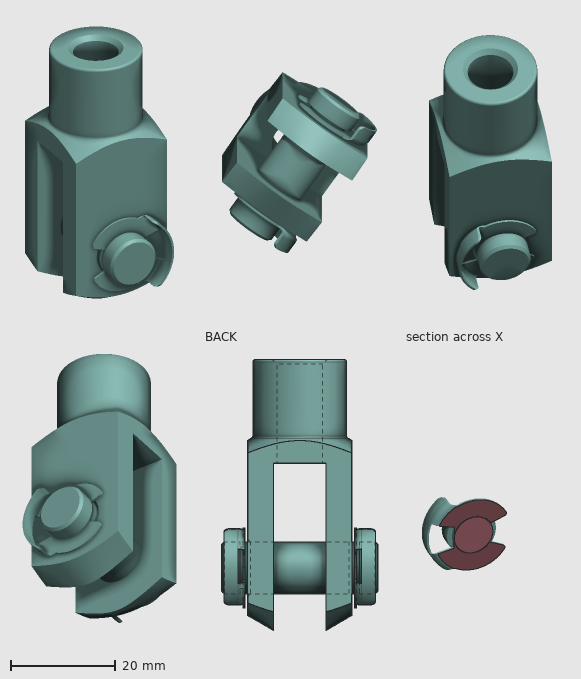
import cadquery as cq
import math


overall_height = 52.0
block_width = 20.0
slot_width = 10.0
slot_depth = 32.05
pin_diameter = 10.0
pin_axis_height = 12.0
pin_hole_chamfer = 0.5
shank_diameter = 18.0
shank_length = 15.0
shank_rounding = 0.5
neck_fillet = 0.5
bore_diameter = 8.8
bore_chamfer = 0.9
cone_slope = math.tan(math.radians(30))

fork_bottom = -pin_axis_height
fork_top = fork_bottom + overall_height
slot_top = fork_bottom + slot_depth
shoulder_height = fork_top - shank_length
half_block = block_width / 2
turning_radius = block_width

pin_length = 30.0
pin_chamfer = 0.5
groove_diameter = 8.0
groove_start = 10.5
groove_width = 1.0

sheet = 0.4
ring_radius = 7.7
opening_at_axis = 0.7
opening_at_rim = 4.3
tip_fillet = 0.6
flange_radius = 9.05
flange_end = 14.55
flange_corner = 1.05
bend_radius = 1.3
inside_bend_radius = 0.4
end_cut_at_axis = 5.8
end_cut_at_rim = 8.35
window_inner_half_width = 2.3
window_outer_half_width = 3.45
clip_tilt = 2.2


def make_turned_body():
    bottom_edge = fork_bottom + cone_slope * (turning_radius - slot_width / 2)
    shoulder_edge = shoulder_height - cone_slope * (turning_radius - shank_diameter / 2)
    turned = (
        cq.Workplane("XZ")
        .moveTo(0, fork_bottom)
        .lineTo(slot_width / 2, fork_bottom)
        .lineTo(turning_radius, bottom_edge)
        .lineTo(turning_radius, shoulder_edge)
        .lineTo(shank_diameter / 2, shoulder_height)
        .lineTo(shank_diameter / 2, fork_top)
        .lineTo(0, fork_top)
        .close()
        .revolve(360, (0, 0, 0), (0, 1, 0))
    )
    turned = turned.faces(">Z").edges().fillet(shank_rounding)
    neck = cq.selectors.BoxSelector(
        (-half_block, -half_block, shoulder_height - neck_fillet),
        (half_block, half_block, shoulder_height + neck_fillet),
    )
    return turned.edges("%CIRCLE").edges(neck).fillet(neck_fillet)


def make_bore():
    bore_radius = bore_diameter / 2
    return (
        cq.Workplane("XZ")
        .moveTo(0, slot_top)
        .lineTo(bore_radius, slot_top)
        .lineTo(bore_radius, fork_top - bore_chamfer)
        .lineTo(bore_radius + bore_chamfer, fork_top)
        .lineTo(0, fork_top)
        .close()
        .revolve(360, (0, 0, 0), (0, 1, 0))
    )


def make_pin_hole():
    hole_radius = pin_diameter / 2
    half_hole = (
        cq.Workplane("XY")
        .lineTo(0, hole_radius)
        .lineTo(half_block - pin_hole_chamfer, hole_radius)
        .lineTo(half_block, hole_radius + pin_hole_chamfer)
        .lineTo(half_block, 0)
        .close()
        .revolve(360, (0, 0, 0), (1, 0, 0))
    )
    return half_hole.union(half_hole.mirror("YZ"))


def make_fork():
    square_bar = (
        cq.Workplane("XY", origin=(0, 0, fork_bottom))
        .rect(block_width, block_width)
        .extrude(overall_height)
    )
    slot = (
        cq.Workplane("XY", origin=(0, 0, fork_bottom))
        .rect(slot_width, block_width)
        .extrude(slot_depth)
    )
    fork_body = make_turned_body().intersect(square_bar)
    return fork_body.cut(slot).cut(make_bore()).cut(make_pin_hole())


def make_pin():
    pin = (
        cq.Workplane("YZ", origin=(-pin_length / 2, 0, 0))
        .circle(pin_diameter / 2)
        .extrude(pin_length)
        .faces("<X or >X")
        .chamfer(pin_chamfer)
    )
    groove = (
        cq.Workplane("YZ", origin=(groove_start, 0, 0))
        .circle(pin_diameter / 2)
        .circle(groove_diameter / 2)
        .extrude(groove_width)
    )
    return pin.cut(groove).cut(groove.mirror("YZ"))


def make_wedge(inner_position, inner_half_width, outer_half_width, thickness):
    return (
        cq.Workplane("YZ", origin=(groove_start, 0, 0))
        .moveTo(inner_position, -inner_half_width)
        .lineTo(flange_radius, -outer_half_width)
        .lineTo(flange_radius, outer_half_width)
        .lineTo(inner_position, inner_half_width)
        .close()
        .extrude(thickness)
    )


def make_ring():
    ring = (
        cq.Workplane("YZ", origin=(groove_start, 0, 0))
        .circle(ring_radius)
        .circle(groove_diameter / 2)
        .extrude(sheet)
    )
    opening = make_wedge(0, opening_at_axis, opening_at_rim, sheet).mirror("XZ")
    return ring.cut(opening).edges("|X").edges("<Y").fillet(tip_fillet)


def make_flange():
    outer_bend_end = groove_start + bend_radius
    outer_bend_start = flange_radius - bend_radius
    ring_face = groove_start + sheet
    flange_inside = flange_radius - sheet
    diagonal = math.sqrt(0.5)
    outer_offset = bend_radius * (1 - diagonal)
    inner_offset = inside_bend_radius * (1 - diagonal)
    bent_sheet = (
        cq.Workplane("XY")
        .moveTo(groove_start, groove_diameter / 2)
        .lineTo(groove_start, outer_bend_start)
        .threePointArc(
            (groove_start + outer_offset, flange_radius - outer_offset),
            (outer_bend_end, flange_radius),
        )
        .lineTo(flange_end, flange_radius)
        .lineTo(flange_end, flange_inside)
        .lineTo(ring_face + inside_bend_radius, flange_inside)
        .threePointArc(
            (ring_face + inner_offset, flange_inside - inner_offset),
            (ring_face, flange_inside - inside_bend_radius),
        )
        .lineTo(ring_face, groove_diameter / 2)
        .close()
        .revolve(180, (0, 0, 0), (1, 0, 0))
        .rotate((0, 0, 0), (1, 0, 0), -90)
    )
    trim = make_wedge(0, end_cut_at_axis, end_cut_at_rim, flange_end - groove_start)
    rounded_trim = trim.faces(">X").edges("not |Z").fillet(flange_corner)
    return bent_sheet.intersect(rounded_trim)


def make_clip(on_left):
    window = make_wedge(groove_diameter / 2, window_inner_half_width, window_outer_half_width, bend_radius)
    clip = make_ring().union(make_flange()).cut(window)
    tilted = clip.rotate((0, 0, 0), (1, 0, 0), clip_tilt)
    return tilted.mirror("YZ") if on_left else tilted


fork = make_fork()
pin = make_pin()
clips = [make_clip(on_left) for on_left in (False, True)]

result = cq.Compound.makeCompound([fork.val(), pin.val(), *[clip.val() for clip in clips]])